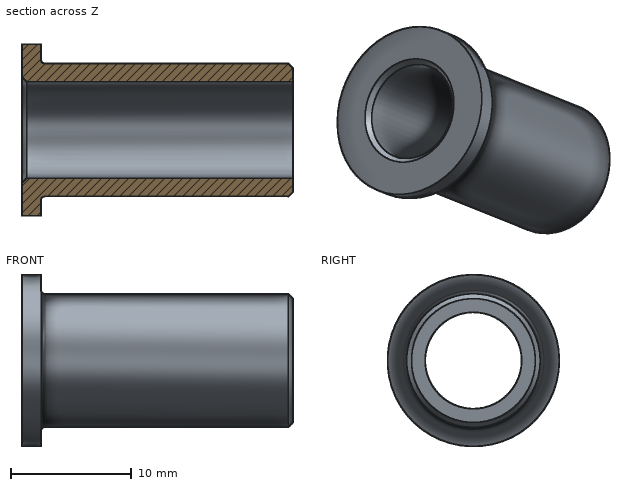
import cadquery as cq

total_length = 22.55
flange_diameter = 14.3
flange_thickness = 1.6
body_diameter = 11.1
bore_diameter = 8.0

neck_fillet = 0.3
tip_chamfer = 0.4
bore_chamfer = 0.4


def cylinder_along_x(diameter, length):
    """Cylinder on the X axis, starting at X = 0."""
    return cq.Workplane("YZ").circle(diameter / 2).extrude(length)


def flanged_body():
    """Sleeve with a chamfered tip and a flange blended in by a small fillet."""
    body = cylinder_along_x(body_diameter, total_length)
    body = body.faces(">X").edges().chamfer(tip_chamfer)
    flange = cylinder_along_x(flange_diameter, flange_thickness)
    neck_radius = body_diameter / 2
    neck_edge = cq.selectors.BoxSelector(
        (flange_thickness - neck_fillet, -neck_radius, -neck_radius),
        (flange_thickness + neck_fillet, neck_radius, neck_radius),
        boundingbox=False,
    )
    neck_circle = cq.selectors.RadiusNthSelector(0)
    return body.union(flange).edges(neck_edge).edges(neck_circle).fillet(neck_fillet)


def cut_bore(part):
    """Through bore with a chamfered mouth at the flange end."""
    bored = part.cut(cylinder_along_x(bore_diameter, total_length))
    mouth = cq.selectors.RadiusNthSelector(0)
    return bored.faces("<X").edges(mouth).chamfer(bore_chamfer)


result = cut_bore(flanged_body())